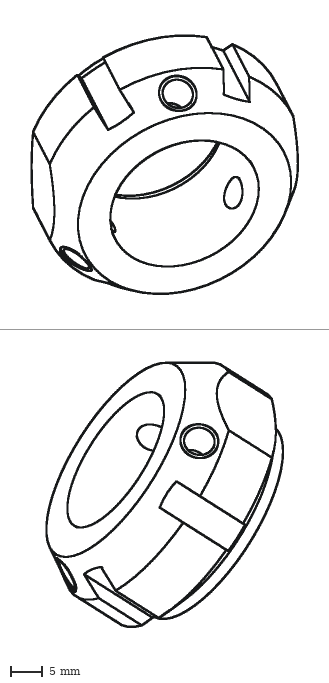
import cadquery as cq
import math

length = 20.0
outer_radius = 43.85 / 2
face_radius = 36.0 / 2
collar_length = 2.0
cone_slope = 30
cone_height = outer_radius - face_radius
front_cone_end = collar_length + cone_height * math.tan(math.radians(cone_slope))
rear_cone_start = 13.1
rear_cone_length = length - rear_cone_start
rear_face_radius = outer_radius - rear_cone_length * math.tan(math.radians(cone_slope))

bore_diameter = 25
recess_diameter = 26.0
recess_depth = 1.5

across_flats = 41.0
slot_width = 5.0
slot_floor = 19.5
slot_clearance = 0.45
slot_angles = (30, 150, 210, 330)

hole_diameter = 4.9
hole_mouth_diameter = 6.1
hole_mouth_depth = 0.25
mouth_clearance = 0.45
hole_reach = 13.15
hole_count = 3


def make_body():
    profile = [
        (0, 0),
        (0, face_radius),
        (collar_length, face_radius),
        (front_cone_end, outer_radius),
        (rear_cone_start, outer_radius),
        (length, rear_face_radius),
        (length, 0),
    ]
    return cq.Workplane("XY").polyline(profile).close().revolve(360, (0, 0), (1, 0))


def make_bore():
    bore = cq.Workplane("YZ").circle(bore_diameter / 2).extrude(length)
    recess = cq.Workplane("YZ").circle(recess_diameter / 2).extrude(recess_depth)
    return bore.union(recess)


def make_flats_envelope():
    return cq.Workplane("XY").box(length, across_flats, 2 * outer_radius, centered=(False, True, True))


def make_slot(angle):
    slot = cq.Workplane("XY").workplane(offset=slot_floor).center(length / 2, 0)
    slot = slot.rect(length, slot_width).extrude(outer_radius - slot_floor + slot_clearance)
    return slot.rotate((0, 0, 0), (1, 0, 0), angle)


def make_screw_hole(angle):
    cone_middle = cq.Vector(length - rear_cone_length / 2, 0, (outer_radius + rear_face_radius) / 2)
    tilt = math.radians(cone_slope)
    inward = cq.Vector(-math.sin(tilt), 0, -math.cos(tilt))
    hole = cq.Solid.makeCylinder(hole_diameter / 2, hole_reach, cone_middle, inward)
    mouth_start = cone_middle - inward * mouth_clearance
    mouth_height = mouth_clearance + hole_mouth_depth
    mouth = cq.Solid.makeCylinder(hole_mouth_diameter / 2, mouth_height, mouth_start, inward)
    return cq.Workplane(hole.fuse(mouth)).rotate((0, 0, 0), (1, 0, 0), angle)


result = make_body().intersect(make_flats_envelope()).cut(make_bore())

for slot_angle in slot_angles:
    result = result.cut(make_slot(slot_angle))

for hole_index in range(hole_count):
    result = result.cut(make_screw_hole(hole_index * 360 / hole_count))